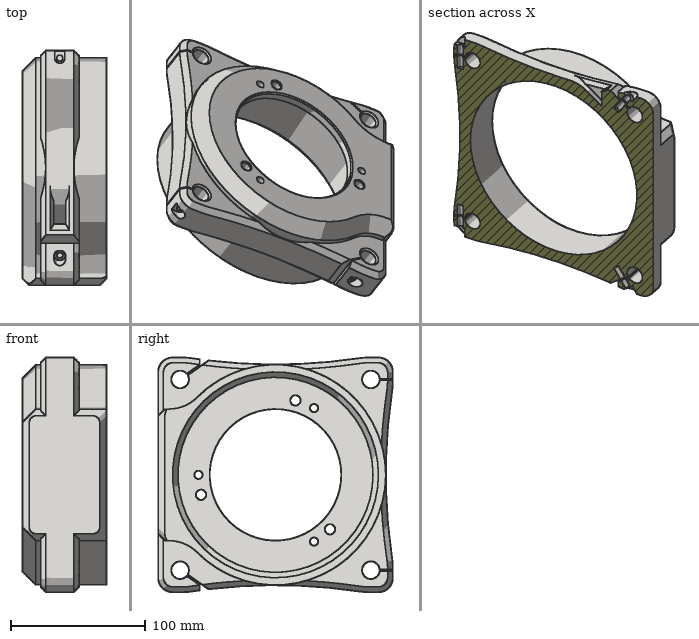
import cadquery as cq
import math

size = 175.0
half = size / 2
depth = 62.6

body_radius = 82.0
front_chamfer = 10.0
arm_half_width = 49.0
arm_blend_radius = 30.0
arm_end_bevel = 5.0
arm_end_corner_radius = 5.0

bore_radius = 97.8 / 2
bore_chamfer = 1.0
recess_radius = 145.2 / 2
recess_rear_chamfer = 4.0
lip_thickness = 6.5

lip_hole_circle_radius = 57.4
pin_hole_diameter = 6.0
screw_hole_diameter = 7.5
screw_hole_chamfer = 0.7
screw_hole_lag = 15.0

flange_start = 13.5
flange_thickness = 28.7
flange_chamfer = 4.0
flange_corner_radius = 11.0
flat_end = 70.0
waist_end = 62.0
waist_end_slope = math.radians(8.5)

post_offset = 71.0
post_hole_radius = 6.5
post_hole_chamfer = 1.4
slit_width = 1.0
slant = 35.0
notch_y = -56.4
clamp_hole_diameter = 4.5
clamp_hole_below_slit = 10.5
square_clamp_reach = 10.7
square_seat_height = 9.3
square_seat_diameter = 7.5
slanted_clamp_reach = 12.5
slanted_seat_height = 7.5
slanted_seat_diameter = 9.0
slanted_slit_length = 31.5

chute_start = -13.8
chute_ramp_start = -29.5
chute_end = -41.6
chute_width = 8.8
chute_side_bevel = 2.8
chute_end_bevel = 4.7

flange_middle = flange_start + flange_thickness / 2
crown_radius = (flat_end - waist_end) / math.sin(waist_end_slope)
waist_radius = waist_end / math.sin(waist_end_slope)
waist_end_z = half - crown_radius * (1 - math.cos(waist_end_slope))
waist_centre_z = waist_end_z + waist_radius * math.cos(waist_end_slope)
slant_rad = math.radians(slant)
chute_opening_end = chute_end - chute_end_bevel


def along_x(start):
    """Y-Z sketch plane at the given X, extruding toward +X."""
    return cq.Workplane("YZ", origin=(start, 0, 0))


def both_sides(shape):
    """The shape together with its mirror image across the X-Y plane."""
    return shape.union(shape.mirror("XY"))


def waist_z(y):
    """Height of the waisted +Z side at a given Y."""
    return waist_centre_z - math.sqrt(waist_radius**2 - y**2)


def ring_body():
    blend_z = arm_half_width + arm_blend_radius
    blend_distance = body_radius + arm_blend_radius
    blend_y = -math.sqrt(blend_distance**2 - blend_z**2)
    tangent_ratio = body_radius / blend_distance
    tangent_y = blend_y * tangent_ratio
    tangent_z = blend_z * tangent_ratio
    mid_angle = (math.atan2(tangent_z - blend_z, tangent_y - blend_y) - math.pi / 2) / 2
    mid_y = blend_y + arm_blend_radius * math.cos(mid_angle)
    mid_z = blend_z + arm_blend_radius * math.sin(mid_angle)
    overrun = -half - 2 * front_chamfer

    body = (
        along_x(0)
        .moveTo(overrun, arm_half_width)
        .lineTo(blend_y, arm_half_width)
        .threePointArc((mid_y, mid_z), (tangent_y, tangent_z))
        .threePointArc((body_radius, 0), (tangent_y, -tangent_z))
        .threePointArc((mid_y, -mid_z), (blend_y, -arm_half_width))
        .lineTo(overrun, -arm_half_width)
        .close()
        .extrude(depth)
        .faces("<X")
        .edges()
        .chamfer(front_chamfer)
    )
    return body.intersect(arm_end_limit(blend_y))


def arm_end_limit(arm_root_y):
    """Space the body may fill: bevelled at the arm end, open behind it."""
    end_length = arm_root_y + half
    end_depth = depth - 2 * arm_end_bevel
    end_height = 2 * (arm_half_width - arm_end_bevel)
    tip = cq.Sketch().rect(end_depth, end_height).vertices().fillet(arm_end_corner_radius)
    root = (
        cq.Sketch()
        .rect(end_depth + 2 * end_length, end_height + 2 * end_length)
        .vertices()
        .fillet(arm_end_corner_radius)
    )
    tip_plane = cq.Plane(origin=(depth / 2, -half, 0), xDir=(1, 0, 0), normal=(0, 1, 0))
    bevel = (
        cq.Workplane(tip_plane)
        .placeSketch(tip, root.moved(cq.Location(cq.Vector(0, 0, end_length))))
        .loft(ruled=True)
    )
    rest = cq.Workplane().box(depth, size, size).translate((depth / 2, arm_root_y + half, 0))
    return bevel.union(rest)


def waist_cutter():
    """Space above the +Z side: a long concave arc between two convex crowns."""
    crown_mid_y = flat_end - crown_radius * math.sin(waist_end_slope / 2)
    crown_mid_z = half - crown_radius * (1 - math.cos(waist_end_slope / 2))
    return (
        along_x(0)
        .moveTo(-flat_end, half)
        .threePointArc((-crown_mid_y, crown_mid_z), (-waist_end, waist_end_z))
        .threePointArc((0, waist_z(0)), (waist_end, waist_end_z))
        .threePointArc((crown_mid_y, crown_mid_z), (flat_end, half))
        .close()
        .extrude(depth)
    )


def flange():
    """Rounded square plate, waisted on every side except the arm side."""
    plate = along_x(flange_start).rect(size, size).extrude(flange_thickness)
    plate = plate.edges("|X").fillet(flange_corner_radius)
    for turn in (0, -90, 180):
        plate = plate.cut(waist_cutter().rotate((0, 0, 0), (1, 0, 0), turn))
    return plate.faces("<X or >X").edges().chamfer(flange_chamfer)


def chamfered_hole(y, z, radius, chamfer, start, length):
    """Cutter for a straight hole along X, chamfered at its front end."""
    hole = along_x(start).center(y, z).circle(radius).extrude(length)
    flare = along_x(start).center(y, z).circle(radius + chamfer)
    return hole.union(flare.workplane(offset=chamfer).circle(radius).loft())


def bore():
    recess = along_x(lip_thickness).circle(recess_radius).extrude(depth)
    rear_flare = (
        along_x(depth - recess_rear_chamfer)
        .circle(recess_radius)
        .workplane(offset=recess_rear_chamfer)
        .circle(recess_radius + recess_rear_chamfer)
        .loft()
    )
    return recess.union(rear_flare).union(chamfered_hole(0, 0, bore_radius, bore_chamfer, 0, depth))


def lip_holes():
    cutter = cq.Workplane()
    for pair_angle in (60, 180, 300):
        pin = math.radians(pair_angle)
        screw = math.radians(pair_angle + screw_hole_lag)
        pin_y = lip_hole_circle_radius * math.cos(pin)
        pin_z = lip_hole_circle_radius * math.sin(pin)
        screw_y = lip_hole_circle_radius * math.cos(screw)
        screw_z = lip_hole_circle_radius * math.sin(screw)
        pin_hole = along_x(0).center(pin_y, pin_z).circle(pin_hole_diameter / 2).extrude(lip_thickness)
        screw_hole = chamfered_hole(
            screw_y, screw_z, screw_hole_diameter / 2, screw_hole_chamfer, 0, lip_thickness
        )
        cutter = cutter.add(pin_hole).add(screw_hole)
    return cutter.combine()


def clamp(reach, seat_height, seat_diameter, slit_length):
    """Slit from a post hole toward +Y and the clamp screw hole across it.

    Built about the post hole axis: the screw sits `reach` along the slit and
    its head seat lies `seat_height` above the middle of the slit.
    """
    slit = cq.Workplane().box(depth, slit_length, slit_width, centered=(False, False, True))
    screw_axis = cq.Workplane("XY", origin=(flange_middle, reach, seat_height))
    seat = screw_axis.circle(seat_diameter / 2).extrude(half)
    hole = screw_axis.circle(clamp_hole_diameter / 2).extrude(-seat_height - clamp_hole_below_slit)
    return slit.union(seat).union(hole)


def square_corner_clamp():
    """Clamp of the (+Y, +Z) corner, with a level slit."""
    seat_opening = (
        cq.Workplane()
        .box(square_seat_diameter, half, half, centered=(True, False, False))
        .translate((flange_middle, square_clamp_reach, square_seat_height))
    )
    parts = clamp(square_clamp_reach, square_seat_height, square_seat_diameter, half)
    return parts.union(seat_opening).translate((0, post_offset, post_offset))


def slanted_corner_clamp():
    """Clamp of the (-Y, +Z) corner, with a slanted slit that widens into a notch."""
    parts = clamp(
        slanted_clamp_reach, slanted_seat_height, slanted_seat_diameter, slanted_slit_length
    )
    parts = parts.rotate((0, 0, 0), (1, 0, 0), slant).translate((0, -post_offset, post_offset))
    run = slanted_slit_length * math.cos(slant_rad)
    notch_z = post_offset + (notch_y + post_offset) * math.tan(slant_rad)
    slit_drop = slit_width / 2 / math.cos(slant_rad)
    end_y = run - post_offset
    end_z = post_offset + run * math.tan(slant_rad)
    notch = (
        along_x(0)
        .moveTo(notch_y, notch_z - slit_drop)
        .lineTo(end_y, end_z - slit_drop)
        .lineTo(notch_y, end_z)
        .close()
        .extrude(depth)
    )
    return parts.union(notch)


def post_holes():
    cutter = cq.Workplane()
    for y in (-post_offset, post_offset):
        for z in (-post_offset, post_offset):
            hole = chamfered_hole(
                y, z, post_hole_radius, post_hole_chamfer, flange_start, flange_thickness
            )
            cutter = cutter.add(hole)
    return cutter.combine()


def chute():
    """Recess whose floor curves down from the plate edge into a slanted ramp."""
    chute_top = waist_z(chute_start)
    ramp_radius = (chute_start - chute_ramp_start) / math.sin(slant_rad)
    arc_mid_y = chute_start - ramp_radius * math.sin(slant_rad / 2)
    arc_mid_z = chute_top - ramp_radius * (1 - math.cos(slant_rad / 2))
    ramp_z = chute_top - ramp_radius * (1 - math.cos(slant_rad))
    floor_end = chute_opening_end - 1.8
    floor_z = ramp_z - (chute_ramp_start - floor_end) * math.tan(slant_rad)
    opening_width = chute_width + 2 * chute_side_bevel
    above_floor = (
        along_x(flange_middle - opening_width / 2)
        .moveTo(chute_start, half)
        .lineTo(chute_start, chute_top)
        .threePointArc((arc_mid_y, arc_mid_z), (chute_ramp_start, ramp_z))
        .lineTo(floor_end, floor_z)
        .lineTo(floor_end, half)
        .close()
        .extrude(opening_width)
    )
    return above_floor.intersect(chute_walls())


def chute_walls():
    """Upright slot with a bevelled mouth that lies in the sloping plate edge."""
    slot_length = chute_start - chute_end
    slot = (
        cq.Workplane()
        .box(chute_width, slot_length, half, centered=(True, False, False))
        .translate((flange_middle, chute_end, 0))
    )
    mouth_middle = (chute_start + chute_opening_end) / 2
    mouth_slope = math.asin(-mouth_middle / waist_radius)
    mouth_length = (chute_start - chute_opening_end) / math.cos(mouth_slope)
    opening_width = chute_width + 2 * chute_side_bevel
    throat_length = mouth_length - chute_end_bevel
    mouth_plane = cq.Workplane()
    opening = mouth_plane.rect(opening_width, mouth_length).extrude(chute_side_bevel)
    bevel = (
        mouth_plane.rect(opening_width, mouth_length)
        .workplane(offset=-chute_side_bevel)
        .center(0, chute_end_bevel / 2)
        .rect(chute_width, throat_length)
        .loft(ruled=True)
    )
    mouth = (
        opening.union(bevel)
        .rotate((0, 0, 0), (1, 0, 0), -math.degrees(mouth_slope))
        .translate((flange_middle, mouth_middle, waist_z(mouth_middle)))
    )
    return slot.union(mouth)


result = (
    ring_body()
    .union(flange())
    .cut(bore())
    .cut(lip_holes())
    .cut(post_holes())
    .cut(both_sides(square_corner_clamp()))
    .cut(both_sides(slanted_corner_clamp()))
    .cut(chute())
)